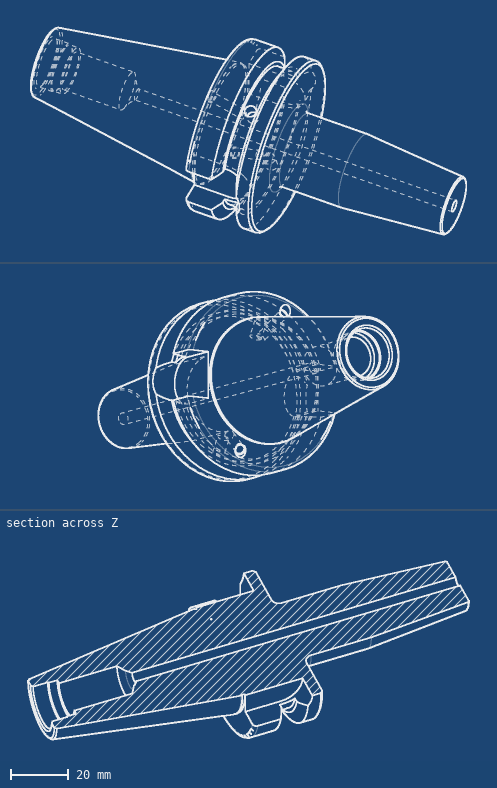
import cadquery as cq
import math

total_length = 155.4
gauge_x = 65.5
gauge_land_end_x = 66.0
flange_start_x = 67.0
rim_end_x = 77.1
groove_start_x = 79.3
groove_end_x = 84.7
collar_start_x = 86.9
flange_end_x = 92.5
nose_taper_x = 117.5

gauge_dia = 44.5
taper_rate = 7 / 24
neck_dia = 44.0
flange_dia = 63.0
groove_wall_dia = 54.0
groove_dia = 50.7
shank_dia = 27.0
nose_dia = 21.1

taper_chamfer = 0.6
rim_fillet = 1.4
collar_chamfer = 1.0
nose_chamfer = 0.5
shank_fillet = 2.6

mouth_dia = 19.3
mouth_depth = 0.6
pilot_dia = 17.5
pilot_depth = 6.0
thread_dia = 17.0
thread_depth = 9.5
drill_dia = 13.8
drill_depth = 31.1
drill_point_angle = 118.0
drill_tip_dia = 7.6
through_dia = 4.0

slot_width = 16.3
slot_floor = 22.5
slot_end_x = 88.3

coolant_angle = 20.0
groove_hole_dia = 4.0
groove_hole_x = (groove_start_x + groove_end_x) / 2
groove_hole_bottom = 19.5
face_hole_radius = 26.9
face_hole_slope = 35.0
face_hole_dia = 4.0
face_hole_depth = 1.2
feed_hole_dia = 3.3
feed_hole_depth = 14.0


def revolve_about_x(profile):
    return profile.close().revolve(360, (0, 0, 0), (1, 0, 0))


def make_body():
    small_end_radius = (gauge_dia - taper_rate * gauge_x) / 2
    chamfer_end_radius = small_end_radius + taper_rate * taper_chamfer / 2
    flange_radius = flange_dia / 2
    shank_radius = shank_dia / 2
    quarter_middle = 1 - math.sqrt(0.5)
    rim_middle = rim_fillet * quarter_middle
    fillet_middle = shank_fillet * quarter_middle
    profile = (
        cq.Workplane("XY")
        .lineTo(0, small_end_radius - taper_chamfer)
        .lineTo(taper_chamfer, chamfer_end_radius)
        .lineTo(gauge_x, gauge_dia / 2)
        .lineTo(gauge_land_end_x, gauge_dia / 2)
        .lineTo(gauge_land_end_x, neck_dia / 2)
        .lineTo(flange_start_x, neck_dia / 2)
        .lineTo(flange_start_x, flange_radius - rim_fillet)
        .threePointArc(
            (flange_start_x + rim_middle, flange_radius - rim_middle),
            (flange_start_x + rim_fillet, flange_radius),
        )
        .lineTo(rim_end_x, flange_radius)
        .lineTo(groove_start_x, groove_wall_dia / 2)
        .lineTo(groove_start_x, groove_dia / 2)
        .lineTo(groove_end_x, groove_dia / 2)
        .lineTo(groove_end_x, groove_wall_dia / 2)
        .lineTo(collar_start_x, flange_radius)
        .lineTo(flange_end_x - collar_chamfer, flange_radius)
        .lineTo(flange_end_x, flange_radius - collar_chamfer)
        .lineTo(flange_end_x, shank_radius + shank_fillet)
        .threePointArc(
            (flange_end_x + fillet_middle, shank_radius + fillet_middle),
            (flange_end_x + shank_fillet, shank_radius),
        )
        .lineTo(nose_taper_x, shank_radius)
        .lineTo(total_length - nose_chamfer, nose_dia / 2)
        .lineTo(total_length, nose_dia / 2 - nose_chamfer)
        .lineTo(total_length, 0)
    )
    return revolve_about_x(profile)


def make_bore():
    pilot_step = (pilot_dia - thread_dia) / 2
    tip_length = (drill_dia - drill_tip_dia) / 2 / math.tan(math.radians(drill_point_angle / 2))
    tip_end_x = drill_depth + tip_length
    countersink_end_x = tip_end_x + (drill_tip_dia - through_dia) / 2
    profile = (
        cq.Workplane("XY")
        .lineTo(0, mouth_dia / 2)
        .lineTo(mouth_depth, pilot_dia / 2)
        .lineTo(pilot_depth, pilot_dia / 2)
        .lineTo(pilot_depth + pilot_step, thread_dia / 2)
        .lineTo(thread_depth, thread_dia / 2)
        .lineTo(thread_depth, drill_dia / 2)
        .lineTo(drill_depth, drill_dia / 2)
        .lineTo(tip_end_x, drill_tip_dia / 2)
        .lineTo(countersink_end_x, through_dia / 2)
        .lineTo(total_length, through_dia / 2)
        .lineTo(total_length, 0)
    )
    return revolve_about_x(profile)


def make_drive_slot():
    """Round-ended slot on the +Y side, open toward the taper."""
    half_width = slot_width / 2
    arc_start_x = slot_end_x - half_width
    return (
        cq.Workplane("XZ", origin=(0, slot_floor, 0))
        .moveTo(gauge_x, -half_width)
        .lineTo(arc_start_x, -half_width)
        .threePointArc((slot_end_x, 0), (arc_start_x, half_width))
        .lineTo(gauge_x, half_width)
        .close()
        .extrude(-flange_dia / 2)
    )


def make_cylinder(diameter, length, start, direction):
    cylinder = cq.Solid.makeCylinder(diameter / 2, length, cq.Vector(*start), cq.Vector(*direction))
    return cq.Workplane(obj=cylinder)


def make_coolant_holes():
    """Radial groove hole and a stepped hole that slopes inward from the flange face."""
    slope = math.radians(face_hole_slope)
    inward = (math.cos(slope), 0, -math.sin(slope))
    lead = face_hole_dia
    mouth = (
        flange_start_x - lead * inward[0],
        0,
        face_hole_radius - lead * inward[2],
    )
    groove_hole = make_cylinder(
        groove_hole_dia,
        groove_wall_dia / 2 - groove_hole_bottom,
        (groove_hole_x, 0, groove_hole_bottom),
        (0, 0, 1),
    )
    face_hole = make_cylinder(face_hole_dia, lead + face_hole_depth, mouth, inward)
    feed_hole = make_cylinder(feed_hole_dia, lead + feed_hole_depth, mouth, inward)
    holes = groove_hole.union(face_hole).union(feed_hole)
    return holes.rotate((0, 0, 0), (1, 0, 0), coolant_angle)


result = make_body().cut(make_bore())
for side_angle in (0, 180):
    for cutter in (make_drive_slot(), make_coolant_holes()):
        result = result.cut(cutter.rotate((0, 0, 0), (1, 0, 0), side_angle))